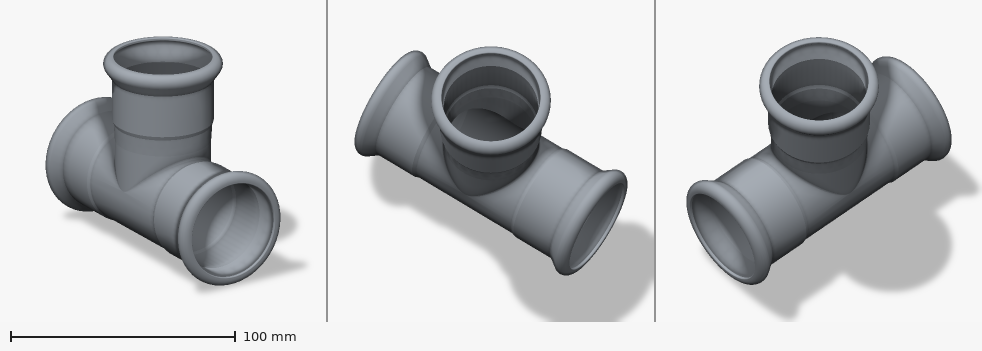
import cadquery as cq
import math


run_length = 114.0
branch_height = 64.8
wall = 1.5

run_radius = 44.0 / 2
run_bore_radius = 41.0 / 2
neck_radius = 43.0 / 2
neck_bore_radius = 40.0 / 2
collar_top = 23.7
neck_taper_start = 25.2
saddle_fillet = 0.9

socket_radius = 45.4 / 2
socket_bore_radius = 42.3 / 2
bead_center_radius = 23.1
bead_radius = 3.5
bead_inner_radius = bead_radius - wall
lip_radius = 44.0 / 2
lip_round = 0.5
flare_depth = 10.4
bore_chamfer_radius = 43.3 / 2
bore_chamfer_start = 10.1
bore_chamfer_end = 11.1
step_start = 29.9
step_end = 31.7

socket_end = run_length / 2 - step_end
branch_step_end = branch_height - step_end


def bead_point(radius, angle):
    """Radius and depth of a point on the bead section; angle 0 faces outward, 90 faces inward."""
    turn = math.radians(angle)
    return (bead_center_radius + radius * math.cos(turn), bead_radius + radius * math.sin(turn))


def tangent_angle(radius, point):
    """Angle on the bead section where the line from point touches it tangentially."""
    across = point[0] - bead_center_radius
    along = point[1] - bead_radius
    direction = math.degrees(math.atan2(along, across))
    return direction - math.degrees(math.acos(radius / math.hypot(across, along)))


def socket():
    """Hollow socket on the Z axis with its mouth at z = 0 and its depth along +Z."""
    flare_end = (socket_radius, flare_depth)
    chamfer_start = (bore_chamfer_radius, bore_chamfer_start)
    outer_angle = tangent_angle(bead_radius, flare_end)
    inner_angle = tangent_angle(bead_inner_radius, chamfer_start)
    mouth_angle = -90
    corner = lip_round * (1 - math.sqrt(0.5))
    profile = (
        cq.Workplane("XZ")
        .moveTo(*bead_point(bead_radius, mouth_angle))
        .threePointArc(
            bead_point(bead_radius, (mouth_angle + outer_angle) / 2),
            bead_point(bead_radius, outer_angle),
        )
        .lineTo(*flare_end)
        .lineTo(socket_radius, step_start)
        .lineTo(run_radius, step_end)
        .lineTo(run_bore_radius, step_end)
        .lineTo(socket_bore_radius, step_start)
        .lineTo(socket_bore_radius, bore_chamfer_end)
        .lineTo(*chamfer_start)
        .lineTo(*bead_point(bead_inner_radius, inner_angle))
        .threePointArc(
            bead_point(bead_inner_radius, (mouth_angle + inner_angle) / 2),
            bead_point(bead_inner_radius, mouth_angle),
        )
        .lineTo(lip_radius + lip_round, wall)
        .threePointArc((lip_radius + corner, wall - corner), (lip_radius, wall - lip_round))
        .lineTo(lip_radius, lip_round)
        .threePointArc((lip_radius + corner, corner), (lip_radius + lip_round, 0))
        .close()
    )
    return profile.revolve(360, (0, 0, 0), (0, 1, 0))


def run_socket(side):
    """Socket at one end of the run; side is -1 or +1 along X."""
    return socket().rotate((0, 0, 0), (0, 1, 0), -side * 90).translate((side * run_length / 2, 0, 0))


def make_run_body():
    """Run tube with its pulled collar and a socket at each end."""
    tube = cq.Workplane("YZ").circle(run_radius).extrude(socket_end, both=True)
    collar = cq.Workplane("XY").circle(neck_radius).extrude(collar_top)
    body = tube.union(collar)

    seam_box = cq.selectors.BoxSelector(
        (-neck_radius - wall, -run_radius, 0),
        (neck_radius + wall, run_radius, run_radius),
    )
    body = body.edges(seam_box).fillet(saddle_fillet)

    run_bore = cq.Workplane("YZ").circle(run_bore_radius).extrude(socket_end, both=True)
    collar_bore = cq.Workplane("XY").circle(neck_bore_radius).extrude(collar_top)
    body = body.cut(run_bore).cut(collar_bore)
    for side in (-1, 1):
        body = body.union(run_socket(side))
    return body


def make_branch_socket():
    """Socket on a tapered neck that ends on top of the collar."""
    neck = (
        cq.Workplane("XZ")
        .moveTo(neck_bore_radius, collar_top)
        .lineTo(neck_radius, collar_top)
        .lineTo(neck_radius, neck_taper_start)
        .lineTo(run_radius, branch_step_end)
        .lineTo(run_bore_radius, branch_step_end)
        .lineTo(neck_bore_radius, neck_taper_start)
        .close()
        .revolve(360, (0, 0, 0), (0, 1, 0))
    )
    mouth = socket().rotate((0, 0, 0), (1, 0, 0), 180).translate((0, 0, branch_height))
    return neck.union(mouth)


run_body = make_run_body()
branch_socket = make_branch_socket()

result = cq.Compound.makeCompound([run_body.val(), branch_socket.val()])